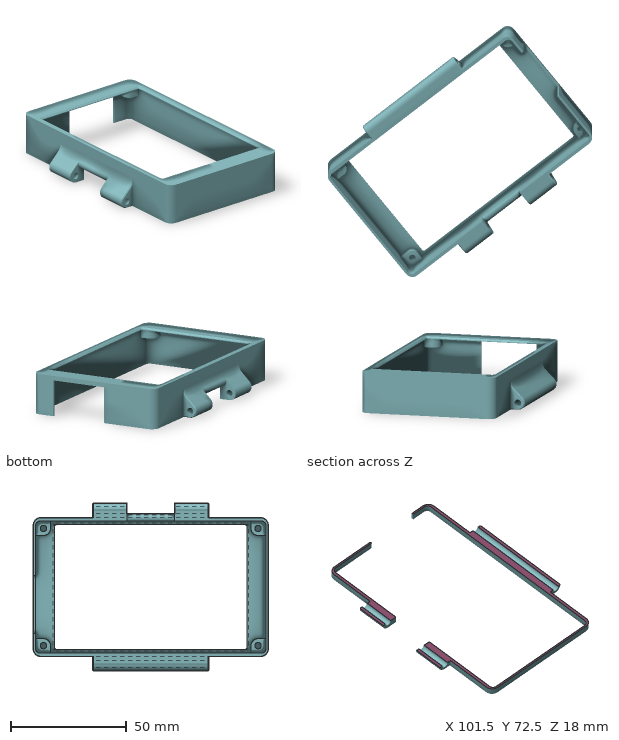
import cadquery as cq
import math

length = 101.5
width = 60.0
height = 18.0
corner_radius = 3.5
end_wall = 1.0
side_wall = 1.5
plate_thickness = 1.0
cavity_radius = 2.0

window_length = 83.0
window_width = 53.8
window_radius = 0.8
window_bevel = 0.7

post_x = 46.3
post_y = 25.3
post_radius = 3.0
post_bottom_z = 12.9
screw_hole_diameter = 2.7
screw_hole_skin = 0.2

notch_width = 24.9
notch_height = 15.9
notch_center_y = 7.5

overall_width = 72.5
hinge_length = 50.0
knuckle_radius = 3.0
pin_hole_diameter = 2.9
ramp_angle = 45.0
hinge_fillet = 5.0
hinge_end_chamfer = 0.4

gap_length = 20.5
gap_height = 9.3
nose_radius = 1.9
nose_y = -29.7
nose_z = 8.0

side_y = width / 2
pin_y = overall_width / 2 - knuckle_radius
pin_z = knuckle_radius
cavity_length = length - 2 * end_wall
cavity_width = width - 2 * side_wall
cavity_height = height - plate_thickness


def block(size_x, size_y, size_z):
    """Block centred on the Z axis, standing on Z = 0."""
    return cq.Workplane("XY").box(size_x, size_y, size_z, centered=(True, True, False))


def rod_along_x(rod_length, center_y, center_z, radius):
    """Round rod along X, centred on X = 0."""
    plane = cq.Workplane("YZ", origin=(-rod_length / 2, center_y, center_z))
    return plane.circle(radius).extrude(rod_length)


def make_cavity():
    return block(cavity_length, cavity_width, cavity_height).edges("|Z").fillet(cavity_radius)


def make_window():
    opening = block(window_length, window_width, height).edges("|Z").fillet(window_radius)
    outline = cq.Sketch().rect(window_length, window_width).vertices().fillet(window_radius)
    bevel = (
        cq.Workplane("XY", origin=(0, 0, height - window_bevel))
        .placeSketch(outline)
        .extrude(window_bevel, taper=-45)
    )
    return opening.union(bevel)


def make_corner_post():
    """Post in the +X +Y corner: walls on two sides, rounded towards the middle of the frame."""
    wall_x = cavity_length / 2
    wall_y = cavity_width / 2
    rounding_x = post_x - post_radius * math.sqrt(0.5)
    rounding_y = post_y - post_radius * math.sqrt(0.5)
    return (
        cq.Workplane("XY", origin=(0, 0, post_bottom_z))
        .moveTo(wall_x, wall_y)
        .lineTo(post_x - post_radius, wall_y)
        .lineTo(post_x - post_radius, post_y)
        .threePointArc((rounding_x, rounding_y), (post_x, post_y - post_radius))
        .lineTo(wall_x, post_y - post_radius)
        .close()
        .extrude(cavity_height - post_bottom_z)
    )


def in_all_corners(corner):
    """The given +X +Y corner feature together with its three mirror images."""
    end_features = corner.union(corner.mirror("XZ"))
    return end_features.union(end_features.mirror("YZ"))


def make_screw_hole():
    depth = height - screw_hole_skin
    return cq.Workplane("XY").center(post_x, post_y).circle(screw_hole_diameter / 2).extrude(depth)


def make_hinge():
    """Solid -Y hinge: a filleted ramp from the wall down to a round knuckle, ends chamfered."""
    ramp = math.radians(ramp_angle)
    ramp_start_y = pin_y + knuckle_radius * math.sin(ramp)
    ramp_start_z = pin_z + knuckle_radius * math.cos(ramp)
    meeting_z = ramp_start_z + (ramp_start_y - side_y) * math.tan(ramp)
    half_sweep = (math.pi / 2 - ramp) / 2
    setback = hinge_fillet * math.tan(half_sweep)
    fillet_start_y = side_y + setback * math.cos(ramp)
    fillet_start_z = meeting_z - setback * math.sin(ramp)
    fillet_top_z = meeting_z + setback
    fillet_middle_y = side_y + hinge_fillet * (1 - math.cos(half_sweep))
    fillet_middle_z = fillet_top_z - hinge_fillet * math.sin(half_sweep)
    hinge = (
        cq.Workplane("YZ", origin=(-hinge_length / 2, 0, 0))
        .moveTo(-side_y, 0)
        .lineTo(-pin_y, 0)
        .threePointArc((-pin_y - knuckle_radius, pin_z), (-ramp_start_y, ramp_start_z))
        .lineTo(-fillet_start_y, fillet_start_z)
        .threePointArc((-fillet_middle_y, fillet_middle_z), (-side_y, fillet_top_z))
        .close()
        .extrude(hinge_length)
    )
    return hinge.faces("<X or >X").edges("not(<Z or >Y)").chamfer(hinge_end_chamfer)


def make_hinge_gap():
    """Gap between the knuckles: it also opens the wall, which keeps a rounded lower edge above."""
    gap_outer_y = -overall_width / 2
    gap_inner_y = -cavity_width / 2
    gap_depth = gap_inner_y - gap_outer_y
    gap = block(gap_length, gap_depth, gap_height)
    gap = gap.translate((0, (gap_outer_y + gap_inner_y) / 2, 0))
    return gap.cut(rod_along_x(gap_length, nose_y, nose_z, nose_radius))


def make_notch():
    return block(2 * end_wall, notch_width, notch_height).translate((-length / 2, notch_center_y, 0))


frame = block(length, width, height).edges("|Z").fillet(corner_radius)
frame = frame.cut(make_cavity())
frame = frame.cut(make_window())
frame = frame.cut(make_notch())

frame = frame.union(in_all_corners(make_corner_post()))
frame = frame.cut(in_all_corners(make_screw_hole()))

hinge = make_hinge()
frame = frame.union(hinge)
frame = frame.cut(make_hinge_gap())
frame = frame.union(hinge.mirror("XZ"))

for hinge_y in (-pin_y, pin_y):
    frame = frame.cut(rod_along_x(hinge_length, hinge_y, pin_z, pin_hole_diameter / 2))

result = frame